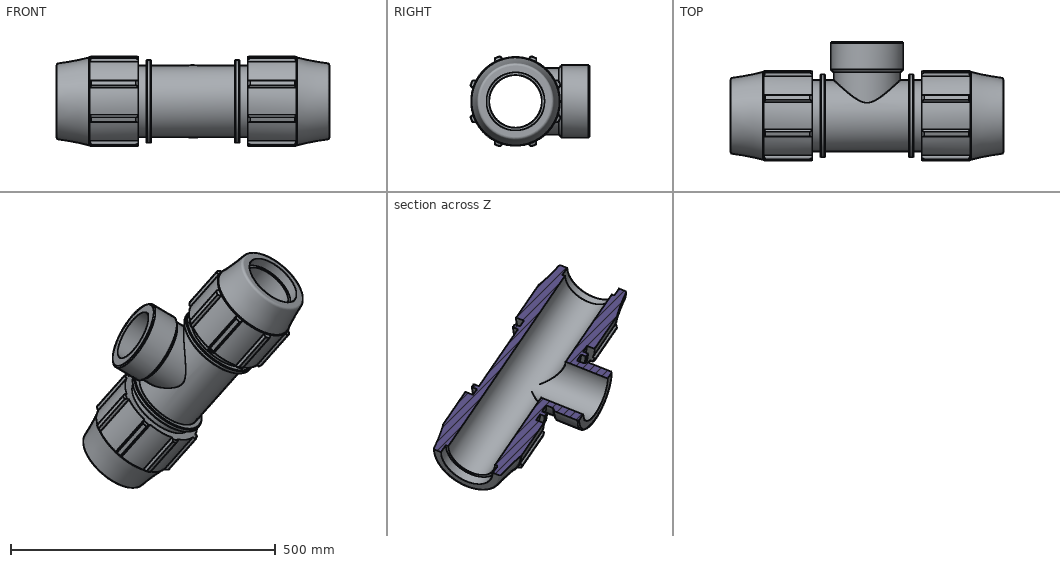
import cadquery as cq
import math


run_length = 516.0
half_run = run_length / 2
body_radius = 135.5 / 2
bore_radius = 99.0 / 2
mouth_radius = 110.0 / 2
mouth_depth = 19.5

nose_radius = 71.5
nose_round = 4.5
taper_length = 61.0
taper_end_radius = 83.0
taper_sag = 1.0
nut_radius = 84.0
nut_step = 1.5
nut_end = 155.0

rib_count = 8
rib_round_radius = 7.0
rib_center_radius = 84.5
rib_top_radius = 90.5
rib_outer_bevel_length = 3.0
rib_inner_bevel_length = 4.5
rib_inner_bevel_drop = 2.0
rib_root_radius = nut_radius - rib_round_radius

collar_radius = 157.5 / 2
collar_start = 170.0
collar_width = 9.5
collar_chamfer = 1.5

branch_reach = 140.0
branch_neck_radius = 126.5 / 2
socket_radius = 138.0 / 2
socket_length = 52.0
socket_chamfer = 2.5
shoulder_height = socket_radius - branch_neck_radius


def make_nut():
    """Left-hand nut: a slightly concave taper followed by the ribbed cylinder."""
    start = -half_run
    taper_end = start + taper_length
    slope = math.atan2(taper_end_radius - nose_radius, taper_length)
    taper_mid = (
        start + taper_length / 2 + taper_sag * math.sin(slope),
        (nose_radius + taper_end_radius) / 2 - taper_sag * math.cos(slope),
    )
    sleeve = (
        cq.Workplane("XY")
        .moveTo(start, 0)
        .lineTo(start, nose_radius)
        .threePointArc(taper_mid, (taper_end, taper_end_radius))
        .lineTo(taper_end + nut_step, nut_radius)
        .lineTo(start + nut_end, nut_radius)
        .lineTo(start + nut_end, 0)
        .close()
        .revolve(360, (0, 0, 0), (1, 0, 0))
        .faces("<X")
        .edges()
        .fillet(nose_round)
    )
    rib = make_rib(taper_end + nut_step, start + nut_end)
    pitch = 360 / rib_count
    for i in range(rib_count):
        sleeve = sleeve.union(rib.rotate((0, 0, 0), (1, 0, 0), pitch / 2 + i * pitch))
    return sleeve


def make_rib(start, end):
    """One grip rib on the +Z side: a round bar with a flattened top, bevelled at both ends."""
    bar = (
        cq.Workplane("YZ", origin=(start, 0, 0))
        .center(0, rib_center_radius)
        .circle(rib_round_radius)
        .extrude(end - start)
    )
    side_profile = (
        cq.Workplane("XZ")
        .moveTo(start, rib_root_radius)
        .lineTo(start, nut_radius)
        .lineTo(start + rib_outer_bevel_length, rib_top_radius)
        .lineTo(end - rib_inner_bevel_length, rib_top_radius)
        .lineTo(end, rib_top_radius - rib_inner_bevel_drop)
        .lineTo(end, rib_root_radius)
        .close()
        .extrude(rib_round_radius, both=True)
    )
    return bar.intersect(side_profile)


def make_collar():
    """Left-hand stop collar with both rims chamfered."""
    return (
        cq.Workplane("YZ", origin=(collar_start - half_run, 0, 0))
        .circle(collar_radius)
        .extrude(collar_width)
        .edges()
        .chamfer(collar_chamfer)
    )


def make_branch():
    """Neck from the run axis, a conical shoulder, then the socket."""
    shoulder_end = branch_reach - socket_length
    return (
        cq.Workplane("XY")
        .lineTo(branch_neck_radius, 0)
        .lineTo(branch_neck_radius, shoulder_end - shoulder_height)
        .lineTo(socket_radius, shoulder_end)
        .lineTo(socket_radius, branch_reach - socket_chamfer)
        .lineTo(socket_radius - socket_chamfer, branch_reach)
        .lineTo(0, branch_reach)
        .close()
        .revolve(360, (0, 0, 0), (0, 1, 0))
    )


left_end = make_nut().union(make_collar())
body = cq.Workplane("YZ").circle(body_radius).extrude(half_run - nut_end / 2, both=True)
outer = body.union(left_end).union(left_end.mirror("YZ")).union(make_branch())

run_bore = cq.Workplane("YZ").circle(bore_radius).extrude(half_run, both=True)
left_mouth = (
    cq.Workplane("YZ", origin=(-half_run, 0, 0))
    .circle(mouth_radius)
    .extrude(mouth_depth)
)
branch_bore = cq.Workplane("XZ").circle(bore_radius).extrude(-branch_reach)

result = outer.cut(run_bore).cut(left_mouth).cut(left_mouth.mirror("YZ")).cut(branch_bore)